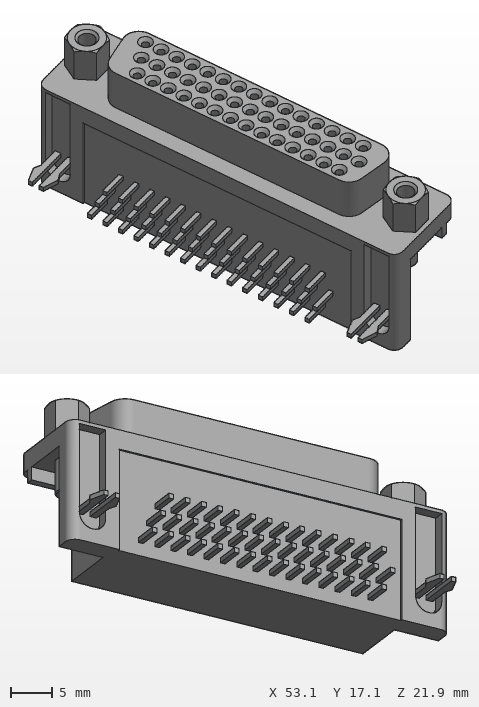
import cadquery as cq
import math


LENGTH = 53.05
DEPTH = 12.5
FLANGE_TOP = 16.15
FLANGE_THICKNESS = 2.6
FLANGE_BOTTOM = FLANGE_TOP - FLANGE_THICKNESS
CORNER_RADIUS = 1.3
BRACKET_THICKNESS = 2.9
MID_Y = DEPTH / 2

BODY_WIDTH = 40.75
BODY_BACK = 10.6
WINDOW_WIDTH = 39.45
WINDOW_DEPTH = 0.25

LUG_THICKNESS = 1.0
LUG_HEIGHT = 1.75

SHELL_TOP = 21.9
SHELL_DEPTH = 8.05
SHELL_FRONT_WIDTH = 36.5
SHELL_TAPER = 10.0
SHELL_RADIUS = 2.1

ROW_COUNTS = (15, 15, 14)
LONG_ROW_SPAN = 32.1
PITCH = LONG_ROW_SPAN / (max(ROW_COUNTS) - 1)
ROW_PITCH = 2.55
ROW_SHIFTS = (-PITCH / 4, PITCH / 4, PITCH / 4)
SOCKET_DIAMETER = 1.0
SOCKET_MOUTH = 1.9
SOCKET_DEPTH = 3.2
PIN_SIZE = 0.65
PIN_LENGTH = 3.2
PIN_MID_Z = 4.6

MOUTH_ANGLE = 90.0

SCREW_X = 23.5
SCREW_TOP = 20.9
HEX_WIDTH = 4.8
HEX_CHAMFER_HEIGHT = 0.2
SCREW_HOLE = 2.25
SCREW_HOLE_MOUTH = 2.9
STUD_DIAMETER = 2.9
STUD_LENGTH = 4.45
STUD_CHAMFER = 0.15
SLOT_WIDTH = 3.65
SLOT_TOP = 15.65
SLOT_DEPTH = 1.5
SLOT_ARC_Z = 3.7

CLIP_THICKNESS = 0.65
CLIP_GAP = 1.0
CLIP_STEM_HALF = 1.4
CLIP_TIP_HALF = 1.1
CLIP_BARB_START = 1.6
CLIP_BARB_PEAK = 2.55
CLIP_LENGTH = 4.65


def block(x_size, y_range, z_range, x_mid=0.0):
    """Box centred on x_mid that spans the given Y and Z ranges."""
    y_size = y_range[1] - y_range[0]
    z_size = z_range[1] - z_range[0]
    corner = (x_mid - x_size / 2, y_range[0], z_range[0])
    return cq.Workplane("XY").box(x_size, y_size, z_size, centered=False).translate(corner)


def row_positions(row):
    """X positions of the contacts in one row."""
    count = ROW_COUNTS[row]
    return [ROW_SHIFTS[row] + (i - (count - 1) / 2) * PITCH for i in range(count)]


def make_housing():
    plate = block(LENGTH, (0, DEPTH), (0, FLANGE_TOP)).edges("|Z").fillet(CORNER_RADIUS)
    behind_bracket = block(LENGTH, (BRACKET_THICKNESS, DEPTH), (0, FLANGE_BOTTOM))
    window = block(WINDOW_WIDTH, (0, WINDOW_DEPTH), (0, FLANGE_BOTTOM))
    body = block(BODY_WIDTH, (BRACKET_THICKNESS, BODY_BACK), (0, FLANGE_BOTTOM))
    lug_bar = block(
        LENGTH, (BODY_BACK - LUG_THICKNESS, BODY_BACK), (FLANGE_BOTTOM - LUG_HEIGHT, FLANGE_BOTTOM)
    )
    return plate.cut(behind_bracket).cut(window).union(body).union(lug_bar)


def make_shell():
    front_half = SHELL_FRONT_WIDTH / 2
    back_half = front_half + SHELL_DEPTH * math.tan(math.radians(SHELL_TAPER))
    front_y = MID_Y - SHELL_DEPTH / 2
    back_y = MID_Y + SHELL_DEPTH / 2
    return (
        cq.Workplane("XY", origin=(0, 0, FLANGE_TOP))
        .polyline([(-front_half, front_y), (front_half, front_y), (back_half, back_y), (-back_half, back_y)])
        .close()
        .extrude(SHELL_TOP - FLANGE_TOP)
        .edges("|Z")
        .fillet(SHELL_RADIUS)
    )


def cut_sockets(part):
    points = []
    for row in range(len(ROW_COUNTS)):
        y = MID_Y + (1 - row) * ROW_PITCH
        points += [(x, y) for x in row_positions(row)]
    return (
        part.copyWorkplane(cq.Workplane("XY", origin=(0, 0, SHELL_TOP)))
        .pushPoints(points)
        .cskHole(SOCKET_DIAMETER, SOCKET_MOUTH, MOUTH_ANGLE, SOCKET_DEPTH)
    )


def make_pins():
    pins = cq.Workplane("XY")
    for row in range(len(ROW_COUNTS)):
        z = PIN_MID_Z + (row - 1) * ROW_PITCH
        z_range = (z - PIN_SIZE / 2, z + PIN_SIZE / 2)
        for x in row_positions(row):
            pins = pins.add(block(PIN_SIZE, (-PIN_LENGTH, WINDOW_DEPTH), z_range, x))
    return pins.combine()


def make_jack_screw(x):
    height = SCREW_TOP - FLANGE_TOP
    corner_diameter = HEX_WIDTH / math.cos(math.radians(30))
    chamfer_run = (corner_diameter - HEX_WIDTH) / 2
    hexagon = (
        cq.Workplane("XY", origin=(x, MID_Y, FLANGE_TOP))
        .transformed(rotate=(0, 0, 90))
        .polygon(6, corner_diameter)
        .extrude(height)
    )
    crown = (
        cq.Workplane("XY", origin=(x, MID_Y, FLANGE_TOP))
        .circle(corner_diameter / 2)
        .extrude(height)
        .faces(">Z")
        .chamfer(HEX_CHAMFER_HEIGHT, chamfer_run)
    )
    stud = (
        cq.Workplane("XY", origin=(x, MID_Y, FLANGE_BOTTOM))
        .circle(STUD_DIAMETER / 2)
        .extrude(-STUD_LENGTH)
        .faces("<Z")
        .chamfer(STUD_CHAMFER)
    )
    drilled = (
        hexagon.intersect(crown)
        .copyWorkplane(cq.Workplane("XY", origin=(x, MID_Y, SCREW_TOP)))
        .cskHole(SCREW_HOLE, SCREW_HOLE_MOUTH, MOUTH_ANGLE, height)
    )
    return drilled.union(stud)


def make_slot(x):
    half = SLOT_WIDTH / 2
    return (
        cq.Workplane("XZ", origin=(x, 0, 0))
        .moveTo(-half, SLOT_TOP)
        .lineTo(-half, SLOT_ARC_Z)
        .threePointArc((0, SLOT_ARC_Z - half), (half, SLOT_ARC_Z))
        .lineTo(half, SLOT_TOP)
        .close()
        .extrude(-SLOT_DEPTH)
    )


def make_clip(x):
    inner = CLIP_GAP / 2
    prong = (
        cq.Workplane("XY", origin=(x, 0, PIN_MID_Z - CLIP_THICKNESS / 2))
        .polyline(
            [
                (inner, SLOT_DEPTH),
                (CLIP_STEM_HALF, SLOT_DEPTH),
                (CLIP_STEM_HALF, -CLIP_BARB_START),
                (SLOT_WIDTH / 2, -CLIP_BARB_PEAK),
                (CLIP_TIP_HALF, -CLIP_LENGTH),
                (inner, -CLIP_LENGTH),
            ]
        )
        .close()
        .extrude(CLIP_THICKNESS)
    )
    return prong.union(prong.mirror("YZ", (x, 0, 0)))


result = cut_sockets(make_housing().union(make_shell()))
for side in (-1, 1):
    screw_x = side * SCREW_X
    result = result.cut(make_slot(screw_x)).union(make_jack_screw(screw_x)).union(make_clip(screw_x))
result = result.union(make_pins())